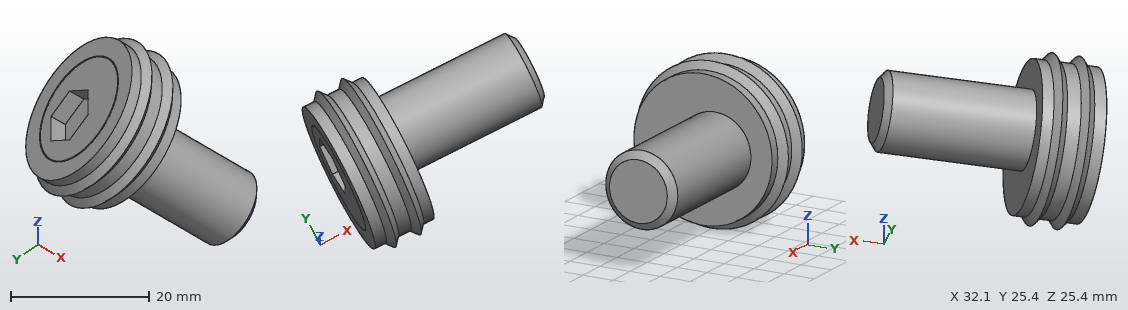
import cadquery as cq
import math

total_length = 32.1
head_length = 9.6
head_diameter = 23.0
ridge_diameter = 25.4
ridge_width = 2.02
ridge_positions = (2.82, 6.9)

shank_diameter = 12.0
shank_chamfer_length = 1.0
shank_chamfer_depth = 1.2
eccentricity = 2.0

groove_outer_diameter = 17.0
groove_inner_diameter = 16.8
groove_depth = 0.2

hex_across_flats = 8.02
hex_depth = 2.75


def cylinder_along_x(start, length, diameter, offset_y=0.0):
    plane = cq.Workplane("YZ", origin=(start, offset_y, 0))
    return plane.circle(diameter / 2).extrude(length)


def make_head():
    """Revolve the head outline, with its pointed ridges, about the X axis."""
    head_radius = head_diameter / 2
    outline = cq.Workplane("XY").moveTo(0, 0).lineTo(0, head_radius)
    for crest in ridge_positions:
        outline = outline.lineTo(crest - ridge_width / 2, head_radius)
        outline = outline.lineTo(crest, ridge_diameter / 2)
        outline = outline.lineTo(crest + ridge_width / 2, head_radius)
    outline = outline.lineTo(head_length, head_radius).lineTo(head_length, 0).close()
    return outline.revolve(360, (0, 0, 0), (1, 0, 0))


def make_shank():
    """Offset shank with a chamfered free end."""
    shank = cylinder_along_x(head_length, total_length - head_length, shank_diameter, eccentricity)
    return shank.faces(">X").edges().chamfer(shank_chamfer_length, shank_chamfer_depth)


def make_face_groove():
    """Narrow ring groove in the head face, concentric with the head."""
    outer = cylinder_along_x(0, groove_depth, groove_outer_diameter)
    inner = cylinder_along_x(0, groove_depth, groove_inner_diameter)
    return outer.cut(inner)


def make_hex_socket():
    """Hexagonal socket on the shank axis, with corners pointing along Z."""
    across_corners = hex_across_flats / math.cos(math.pi / 6)
    socket = cq.Workplane("YZ").polygon(6, across_corners).extrude(hex_depth)
    return socket.rotate((0, 0, 0), (1, 0, 0), 90).translate((0, eccentricity, 0))


result = make_head().union(make_shank()).cut(make_face_groove()).cut(make_hex_socket())